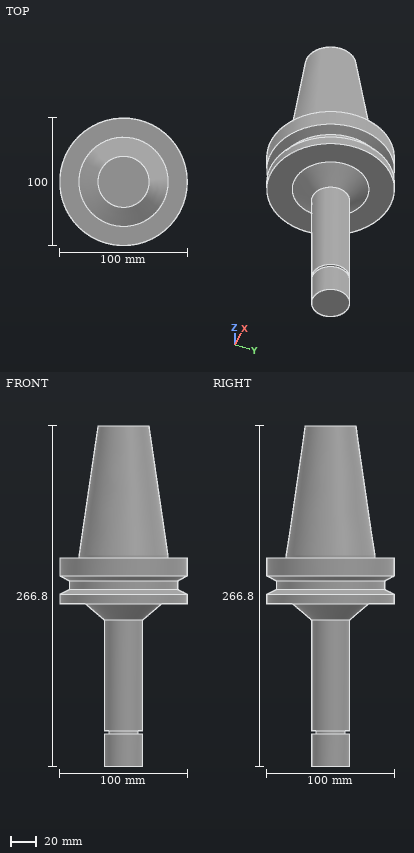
import cadquery as cq

nut_top = 25.5
shank_bottom = 28.0
shank_top = 114.7
flange_bottom = 127.5
lower_rim_top = 135.0
groove_floor_bottom = 138.7
groove_floor_top = 145.5
upper_rim_bottom = 149.5
flange_top = 163.5
taper_base = 165.1
overall_height = 266.8

shank_diameter = 30.0
nut_diameter = shank_diameter
neck_diameter = 23.0
collar_diameter = 60.0
flange_diameter = 100.0
groove_diameter = 85.0
taper_base_diameter = 70.0
taper_top_diameter = 40.0


def make_tool_holder():
    """Holder turned about Z: neck, shank, conical collar, grooved flange and taper."""
    corners = [
        (neck_diameter, nut_top),
        (neck_diameter, shank_bottom),
        (shank_diameter, shank_bottom),
        (shank_diameter, shank_top),
        (collar_diameter, flange_bottom),
        (flange_diameter, flange_bottom),
        (flange_diameter, lower_rim_top),
        (groove_diameter, groove_floor_bottom),
        (groove_diameter, groove_floor_top),
        (flange_diameter, upper_rim_bottom),
        (flange_diameter, flange_top),
        (taper_base_diameter, flange_top),
        (taper_base_diameter, taper_base),
        (taper_top_diameter, overall_height),
    ]
    outline = [(diameter / 2, height) for diameter, height in corners]
    half_section = (
        cq.Workplane("XZ")
        .moveTo(0, nut_top)
        .polyline(outline, includeCurrent=True)
        .lineTo(0, overall_height)
        .close()
    )
    return half_section.revolve(360, (0, 0, 0), (0, 1, 0))


def make_nut():
    """Plain cylindrical nut that meets the end of the holder's neck."""
    return cq.Workplane("XY").circle(nut_diameter / 2).extrude(nut_top)


tool_holder = make_tool_holder()
nut = make_nut()

result = cq.Compound.makeCompound([tool_holder.val(), nut.val()])